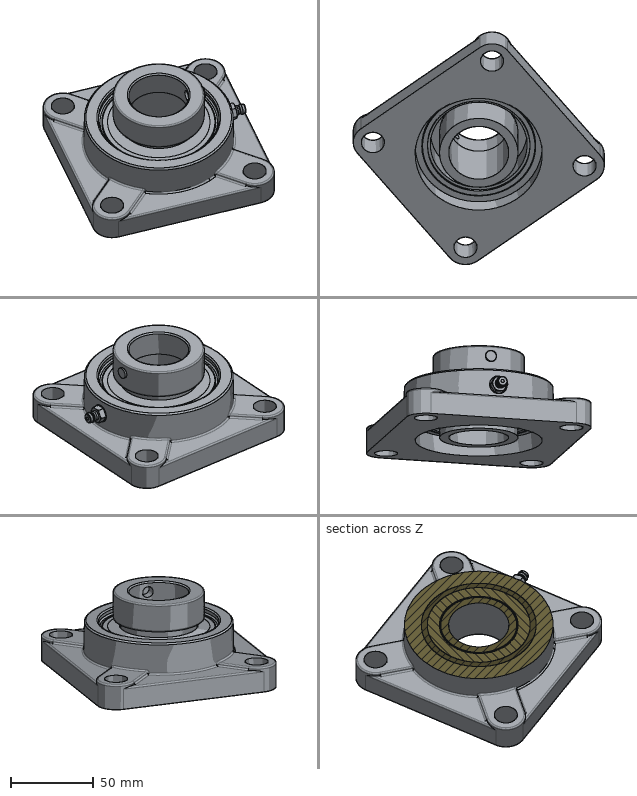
import cadquery as cq
import math

flange_side = 116.0
bolt_spacing = 92.0
bolt_circle_radius = bolt_spacing / math.sqrt(2)
bolt_hole_diameter = 14.0
corner_radius = (flange_side - bolt_spacing) / 2
flange_thickness = 14.0
pad_top = 16.0
edge_round = 1.0
foot_round = 1.0

pad_angles = (45, 135, 225, 315)
tolerance = 0.01

hub_top = 34.0
hub_foot_radius = 45.8
hub_top_radius = 45.4
mouth_diameter = 73.66
mouth_chamfer = 0.9
lip_bevel = 1.0
lip_radius = mouth_diameter / 2 - lip_bevel
rear_recess_diameter = 77.47

seat_radius = 36.0
seat_centre = 20.3
outer_ring_width = 19.4
outer_ring_bottom = seat_centre - outer_ring_width / 2
outer_ring_top = seat_centre + outer_ring_width / 2
outer_ring_bore = 59.01
outer_ring_chamfer = 0.4
seat_edge_radius = math.sqrt(seat_radius**2 - (outer_ring_width / 2) ** 2)

seal_diameter = 62.48
seal_seat_depth = 1.5
seal_rise = 0.6

shaft_bore = 36.51
inner_ring_diameter = 47.75
nose_diameter = 46.67
inner_ring_bottom = 1.8
inner_ring_top = 37.5
nose_bottom = outer_ring_top - seal_seat_depth
collar_diameter = 55.6
collar_bottom = 35.3
collar_top = 52.91
collar_counterbore = 46.74
collar_round = 0.9
bore_chamfer = 0.9

screw_diameter = 6.78
screw_height = 46.3
screw_inner_end = 24.6
screw_outer_end = 28.9

fitting_height = 24.0
fitting_hole_diameter = 6.0
fitting_hole_end = 40.0
fitting_seat = 45.2
spot_face_diameter = 11.0
hex_across_flats = 9.0
hex_end = 49.1
hex_chamfer = 0.6
neck_shoulder_radius = 3.0
neck_shoulder_end = 50.5
neck_radius = 2.6
neck_start = 51.6
neck_end = 52.0
ridge_diameter = 6.78
ridge_position = 53.3
head_radius = 3.0
head_end = 55.4
head_chamfer = 0.4
ball_diameter = 2.51
ball_projection = 0.5


def revolved(outline):
    """Solid of revolution about Z from (radius, height) points."""
    return cq.Workplane("XZ").polyline(outline).close().revolve(360, (0, 0, 0), (0, 1, 0))


def rod_along_y(diameter, start, end, height):
    """Round bar parallel to Y, between two Y positions."""
    plane = cq.Plane(origin=(0, start, height), xDir=(1, 0, 0), normal=(0, 1, 0))
    return cq.Workplane(plane).circle(diameter / 2).extrude(end - start)


def make_flange():
    plate = cq.Workplane("XY").rect(flange_side, flange_side).extrude(flange_thickness)
    return plate.edges("|Z").fillet(corner_radius).faces(">Z").edges().fillet(edge_round)


def make_pad(angle):
    """Round-ended pad running from the axis out over one bolt hole."""
    return (
        cq.Workplane("XY")
        .center(bolt_circle_radius / 2, 0)
        .slot2D(bolt_circle_radius + 2 * corner_radius, 2 * corner_radius)
        .extrude(pad_top)
        .faces(">Z")
        .edges()
        .fillet(edge_round)
        .rotate((0, 0, 0), (0, 0, 1), angle)
    )


def make_pad_foot(angle):
    """Concave rounds along both straight sides of one pad, where it meets the flange top."""
    wall = corner_radius
    mid_offset = foot_round * (1 - math.sqrt(0.5))
    half = (
        cq.Workplane("YZ")
        .moveTo(0, flange_thickness - foot_round)
        .lineTo(wall + foot_round, flange_thickness - foot_round)
        .lineTo(wall + foot_round, flange_thickness)
        .threePointArc(
            (wall + mid_offset, flange_thickness + mid_offset),
            (wall, flange_thickness + foot_round),
        )
        .lineTo(0, flange_thickness + foot_round)
        .close()
        .extrude(bolt_circle_radius)
    )
    return half.union(half.mirror("XZ")).rotate((0, 0, 0), (0, 0, 1), angle)


def is_hub_foot(edge):
    """True for the edges where the hub wall meets the flange top and the pads."""
    low = edge.BoundingBox().zmin
    high = edge.BoundingBox().zmax
    radii = [math.hypot(point.x, point.y) for point in (edge.startPoint(), edge.endPoint())]
    on_wall = all(hub_top_radius < radius <= hub_foot_radius + tolerance for radius in radii)
    return on_wall and low > flange_thickness - tolerance and high < pad_top + tolerance


def make_hub():
    return revolved([
        (0, 0),
        (hub_foot_radius, 0),
        (hub_foot_radius, flange_thickness),
        (hub_top_radius, hub_top - edge_round),
        (hub_top_radius - edge_round, hub_top),
        (0, hub_top),
    ])


def make_housing_cavity():
    """Rear recess, spherical seat, lip and front mouth, as one turned shape."""
    mouth_radius = mouth_diameter / 2
    recess_radius = rear_recess_diameter / 2
    return (
        cq.Workplane("XZ")
        .moveTo(0, 0)
        .lineTo(recess_radius, 0)
        .lineTo(recess_radius, outer_ring_bottom)
        .lineTo(seat_edge_radius, outer_ring_bottom)
        .threePointArc((seat_radius, seat_centre), (seat_edge_radius, outer_ring_top))
        .lineTo(lip_radius, outer_ring_top)
        .lineTo(mouth_radius, outer_ring_top + lip_bevel)
        .lineTo(mouth_radius, hub_top - mouth_chamfer)
        .lineTo(mouth_radius + mouth_chamfer, hub_top)
        .lineTo(0, hub_top)
        .close()
        .revolve(360, (0, 0, 0), (0, 1, 0))
    )


def make_housing():
    body = make_flange()
    for angle in pad_angles:
        body = body.union(make_pad(angle))
    body = body.union(make_hub()).clean()
    body = body.newObject([edge for edge in body.edges().vals() if is_hub_foot(edge)]).fillet(foot_round)
    for angle in pad_angles:
        body = body.union(make_pad_foot(angle))
    bolt_holes = (
        cq.Workplane("XY")
        .rect(bolt_spacing, bolt_spacing, forConstruction=True)
        .vertices()
        .circle(bolt_hole_diameter / 2)
        .extrude(pad_top)
    )
    body = body.cut(bolt_holes).cut(make_housing_cavity())
    hub_wall_radius = hub_foot_radius + edge_round
    fitting_hole = rod_along_y(fitting_hole_diameter, fitting_hole_end, hub_wall_radius, fitting_height)
    spot_face = rod_along_y(spot_face_diameter, fitting_seat, hub_wall_radius, fitting_height)
    return body.cut(fitting_hole).cut(spot_face)


def make_outer_ring():
    bore_radius = outer_ring_bore / 2
    seal_radius = seal_diameter / 2
    face_radius = seat_edge_radius - outer_ring_chamfer
    corner_height = outer_ring_width / 2 - outer_ring_chamfer
    corner_radius_on_seat = math.sqrt(seat_radius**2 - corner_height**2)
    return (
        cq.Workplane("XZ")
        .moveTo(seal_radius, outer_ring_bottom)
        .lineTo(face_radius, outer_ring_bottom)
        .lineTo(corner_radius_on_seat, seat_centre - corner_height)
        .threePointArc((seat_radius, seat_centre), (corner_radius_on_seat, seat_centre + corner_height))
        .lineTo(face_radius, outer_ring_top)
        .lineTo(seal_radius, outer_ring_top)
        .lineTo(seal_radius, outer_ring_top - seal_seat_depth)
        .lineTo(bore_radius, outer_ring_top - seal_seat_depth)
        .lineTo(bore_radius, outer_ring_bottom + seal_seat_depth)
        .lineTo(seal_radius, outer_ring_bottom + seal_seat_depth)
        .close()
        .revolve(360, (0, 0, 0), (0, 1, 0))
    )


def make_seal():
    """Disc with a slightly coned face, between the inner ring and the outer ring."""
    seat_height = outer_ring_top - seal_seat_depth
    return revolved([
        (inner_ring_diameter / 2, seat_height),
        (seal_diameter / 2, seat_height),
        (seal_diameter / 2, outer_ring_top),
        (inner_ring_diameter / 2, outer_ring_top + seal_rise),
    ])


def make_inner_ring():
    """Ring whose narrower nose reaches up into the collar."""
    return revolved([
        (shaft_bore / 2, inner_ring_bottom),
        (inner_ring_diameter / 2, inner_ring_bottom),
        (inner_ring_diameter / 2, nose_bottom),
        (nose_diameter / 2, nose_bottom),
        (nose_diameter / 2, inner_ring_top),
        (shaft_bore / 2, inner_ring_top),
    ])


def make_collar():
    outer = collar_diameter / 2
    bore = shaft_bore / 2
    collar = revolved([
        (collar_counterbore / 2, collar_bottom),
        (outer, collar_bottom),
        (outer, collar_top),
        (bore + bore_chamfer, collar_top),
        (bore, collar_top - bore_chamfer),
        (bore, inner_ring_top),
        (collar_counterbore / 2, inner_ring_top),
    ])
    collar = collar.edges(cq.selectors.RadiusNthSelector(-1)).fillet(collar_round)
    return collar.cut(rod_along_y(screw_diameter, 0, screw_outer_end, screw_height))


def make_set_screw():
    return rod_along_y(screw_diameter, screw_inner_end, screw_outer_end, screw_height)


def make_grease_fitting():
    """Shank, chamfered hexagon, necked head and ball, built along +Z and then laid along +Y."""
    nipple = revolved([
        (0, fitting_hole_end),
        (fitting_hole_diameter / 2, fitting_hole_end),
        (fitting_hole_diameter / 2, hex_end),
        (neck_shoulder_radius, neck_shoulder_end),
        (neck_radius, neck_start),
        (neck_radius, neck_end),
        (ridge_diameter / 2, ridge_position),
        (head_radius, ridge_position),
        (head_radius, head_end - head_chamfer),
        (head_radius - head_chamfer, head_end),
        (0, head_end),
    ])
    across_corners = hex_across_flats / math.cos(math.pi / 6)
    corner = across_corners / 2
    hexagon = (
        cq.Workplane("XY")
        .workplane(offset=fitting_seat)
        .polygon(6, across_corners)
        .extrude(hex_end - fitting_seat)
    )
    hex_envelope = revolved([
        (0, fitting_seat),
        (corner, fitting_seat),
        (corner, hex_end - hex_chamfer),
        (corner - hex_chamfer, hex_end),
        (0, hex_end),
    ])
    ball_centre = head_end + ball_projection - ball_diameter / 2
    ball = cq.Workplane("XY").sphere(ball_diameter / 2).translate((0, 0, ball_centre))
    fitting = nipple.union(hexagon.intersect(hex_envelope)).union(ball)
    return fitting.rotate((0, 0, 0), (1, 0, 0), -90).translate((0, 0, fitting_height))


housing = make_housing()
grease_fitting = make_grease_fitting()
outer_ring = make_outer_ring()
seal = make_seal()
inner_ring = make_inner_ring()
collar = make_collar()
set_screw = make_set_screw()

result = cq.Compound.makeCompound([
    housing.val(),
    grease_fitting.val(),
    outer_ring.val(),
    seal.val(),
    inner_ring.val(),
    collar.val(),
    set_screw.val(),
])